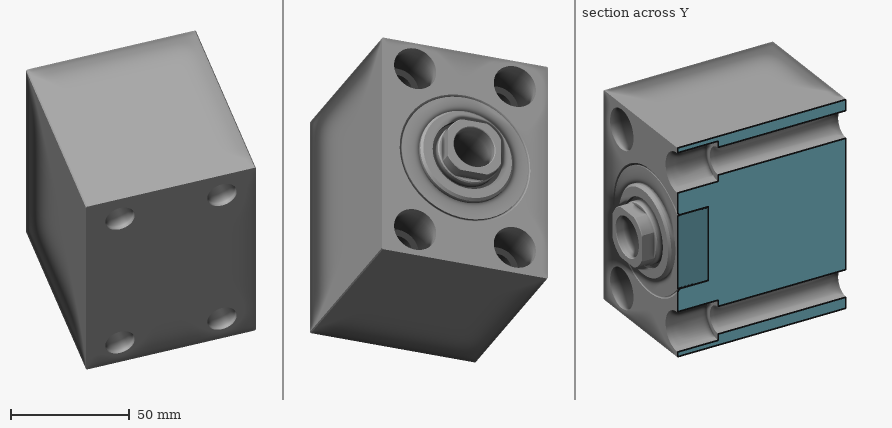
import cadquery as cq


block_length = 83.0
block_width = 75.0
block_height = 100.0
block_edge_chamfer = 0.5

screw_pitch_y = 45.0
screw_pitch_z = 76.0
screw_hole_diameter = 13.0
screw_head_diameter = 19.0
screw_head_depth = 20.0

gland_diameter = 57.0
gland_depth = 15.0
gland_seat_chamfer = 1.0
collar_diameter = 42.0
collar_height = 3.0
collar_chamfer = 1.0
wiper_groove_diameter = 31.5
wiper_groove_depth = 2.0

rod_diameter = 28.0
rod_shoulder_height = 5.0
rod_shoulder_chamfer = 0.5
rod_inner_length = 40.0
head_diameter = 27.0
head_across_flats = 24.0
head_length = 6.0
head_chamfer = 0.3

rod_bore_diameter = 18.4
rod_bore_chamfer = 0.3
rod_bore_depth = 30.0
drill_point_depth = 5.5

rod_tip_x = -(rod_shoulder_height + head_length)


def cylinder(diameter, start_x, end_x):
    """Cylinder on the X axis between two X positions."""
    return cq.Workplane("YZ", origin=(start_x, 0, 0)).circle(diameter / 2).extrude(end_x - start_x)


def cone(start_diameter, end_diameter, start_x, length):
    """Cone on the X axis whose diameter changes along +X."""
    start = cq.Vector(start_x, 0, 0)
    axis = cq.Vector(1, 0, 0)
    return cq.Workplane(cq.Solid.makeCone(start_diameter / 2, end_diameter / 2, length, start, axis))


def countersink(diameter, chamfer, mouth_x):
    """Cutter for a 45 degree chamfer at the mouth of a round hole."""
    return cone(diameter + 2 * chamfer, diameter, mouth_x, chamfer)


def make_housing():
    block = cq.Workplane("XY").box(block_length, block_width, block_height, centered=(False, True, True))
    block = block.edges("|X").chamfer(block_edge_chamfer)
    block = (
        block.faces("<X")
        .workplane(origin=(0, 0, 0))
        .rarray(screw_pitch_y, screw_pitch_z, 2, 2)
        .cboreHole(screw_hole_diameter, screw_head_diameter, screw_head_depth)
    )
    gland_seat = cylinder(gland_diameter, 0, gland_depth)
    seat_chamfer = countersink(gland_diameter, gland_seat_chamfer, 0)
    rod_space = cylinder(rod_diameter, 0, rod_inner_length)
    return block.cut(gland_seat).cut(seat_chamfer).cut(rod_space)


def make_gland():
    disc = cylinder(gland_diameter, 0, gland_depth)
    collar = cylinder(collar_diameter, -collar_height, 0).faces("<X").chamfer(collar_chamfer)
    wiper_groove = cylinder(wiper_groove_diameter, -collar_height, wiper_groove_depth - collar_height)
    rod_hole = cylinder(rod_diameter, -collar_height, gland_depth)
    return disc.union(collar).cut(wiper_groove).cut(rod_hole)


def make_rod():
    shank = cylinder(rod_diameter, -rod_shoulder_height, rod_inner_length)
    shank = shank.faces("<X").chamfer(rod_shoulder_chamfer)
    round_head = cylinder(head_diameter, rod_tip_x, -rod_shoulder_height)
    round_head = round_head.faces("<X").chamfer(head_chamfer)
    flats = (
        cq.Workplane("YZ", origin=(rod_tip_x, 0, 0))
        .rect(head_across_flats, head_across_flats)
        .extrude(head_length)
    )
    bore_end_x = rod_tip_x + rod_bore_depth
    bore = cylinder(rod_bore_diameter, rod_tip_x, bore_end_x)
    drill_point = cone(rod_bore_diameter, 0, bore_end_x, drill_point_depth)
    bore_chamfer = countersink(rod_bore_diameter, rod_bore_chamfer, rod_tip_x)
    return shank.union(round_head.intersect(flats)).cut(bore).cut(drill_point).cut(bore_chamfer)


housing = make_housing()
gland = make_gland()
rod = make_rod()
result = cq.Compound.makeCompound([housing.val(), gland.val(), rod.val()])